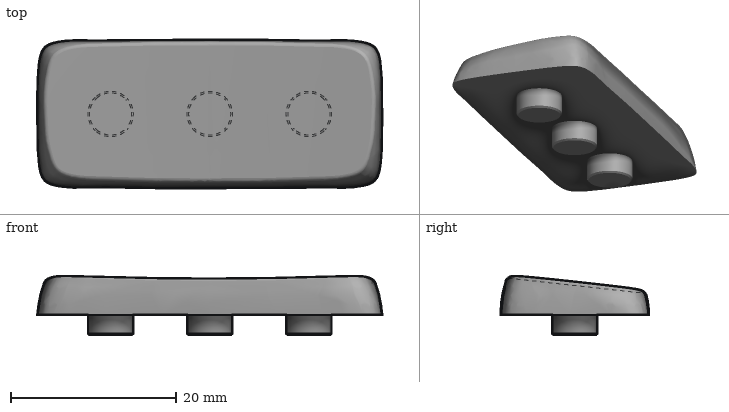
import cadquery as cq
import math

BASE_LENGTH = 41.8
BASE_WIDTH = 18.0
LOFT_TOP = 5.4
END_LEAN = 0.062
END_CURL = 0.042
FRONT_CURL = 0.040
BACK_CURL = 0.055
BASE_CORNER = 2.6
FRONT_CORNER_GROWTH = 0.17
BACK_CORNER_GROWTH = 0.45
BASE_BOW = 0.25
BOW_GROWTH = 0.03
BOW_POWER = 3.5
WALL_SHARES = (0.4, 0.75, 1.0)

DISH_RADIUS = 400.0
DISH_HEIGHT = 3.54
DISH_TILT = 6.3
RIM_FILLET = 0.5

PIN_DIAMETER = 5.5
PIN_LENGTH = 2.45
PIN_PITCH = 12.0
PIN_COUNT = 3
PIN_CHAMFER = 0.2


def cap_section(z):
    """Closed outline of the cap at height z: two mirrored splines meeting at X = 0."""
    half_length = BASE_LENGTH / 2 - END_LEAN * z - END_CURL * z**2
    front = BASE_WIDTH / 2 - FRONT_CURL * z**2
    back = BASE_WIDTH / 2 - BACK_CURL * z**2
    middle = (back - front) / 2
    bow = BASE_BOW + BOW_GROWTH * z
    front_corner = BASE_CORNER + FRONT_CORNER_GROWTH * z
    back_corner = BASE_CORNER + BACK_CORNER_GROWTH * z

    def corner_inset(corner):
        """Inset of the corner's middle point from both walls."""
        return bow + (corner - bow) * (1 - math.sqrt(0.5))

    def half_outline(side):
        """Points from the front middle round one end of the cap to the back middle."""

        def side_wall(share, corner, wall_y, inward):
            return (side * share * (half_length - corner), wall_y + inward * bow * share**BOW_POWER)

        def end_wall(share, reach):
            return (side * (half_length - bow * share**BOW_POWER), middle + share * reach)

        front_inset = corner_inset(front_corner)
        back_inset = corner_inset(back_corner)
        points = [(0, -front)]
        points += [side_wall(share, front_corner, -front, 1) for share in WALL_SHARES]
        points += [(side * (half_length - front_inset), front_inset - front)]
        points += [end_wall(share, front_corner - front - middle) for share in reversed(WALL_SHARES)]
        points += [end_wall(0, 0)]
        points += [end_wall(share, back - back_corner - middle) for share in WALL_SHARES]
        points += [(side * (half_length - back_inset), back - back_inset)]
        points += [side_wall(share, back_corner, back, -1) for share in reversed(WALL_SHARES)]
        points += [(0, back)]
        return points

    def half_edge(points, direction):
        """Spline at height z that leaves and reaches X = 0 parallel to X."""
        return cq.Edge.makeSpline(
            [cq.Vector(x, y, z) for x, y in points],
            tangents=[cq.Vector(direction, 0, 0), cq.Vector(-direction, 0, 0)],
        )

    right_half = half_edge(half_outline(1), 1)
    left_half = half_edge(half_outline(-1)[::-1], -1)
    return cq.Wire.assembleEdges([right_half, left_half])


def make_dish_cutter():
    """Large cylinder along the tilted Y direction, touching the lowest line of the dish."""
    cylinder = cq.Workplane("XZ").circle(DISH_RADIUS).extrude(BASE_WIDTH, both=True)
    cylinder = cylinder.translate((0, 0, DISH_RADIUS))
    return cylinder.rotate((0, 0, 0), (1, 0, 0), -DISH_TILT).translate((0, 0, DISH_HEIGHT))


def make_cap():
    """Lofted body with the dish cut into its top and a rounded rim."""
    heights = [0, LOFT_TOP / 2, LOFT_TOP]
    body = cq.Workplane(cq.Solid.makeLoft([cap_section(z) for z in heights]))
    dished = body.cut(make_dish_cutter())
    return dished.faces(">Z").edges().fillet(RIM_FILLET)


def make_pins():
    """Row of round pins along X, chamfered at their lower ends."""
    return (
        cq.Workplane("XY")
        .rarray(PIN_PITCH, 1, PIN_COUNT, 1)
        .circle(PIN_DIAMETER / 2)
        .extrude(-PIN_LENGTH)
        .faces("<Z")
        .chamfer(PIN_CHAMFER)
    )


result = make_cap().union(make_pins())